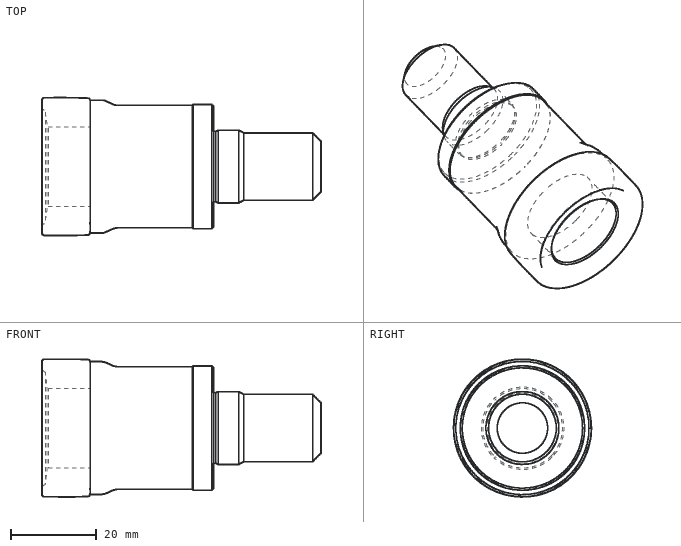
import cadquery as cq
import math

AXIS_START = (0, 0, 0)
AXIS_END = (1, 0, 0)

total_length = 65.0
cap_length = 11.2
flange_end = 40.0
flange_width = 5.0

pad_radius = 9.25
pad_depth = 1.5

cap_radius = 32.2 / 2
cap_peak_x = 4.3
cap_front_radius = 16.04
cap_front_fillet = 0.6
cap_rear_radius = 15.94
cap_rear_fillet = 0.5

rim_radius = 13.4
rim_fillet = 0.5
step_root_radius = 13.15
step_depth = 0.8
step_root_fillet = 0.6
cone_outer_radius = 12.15
cone_inner_radius = 10.0
cone_angle = 8.6
cone_blend = 3.3
bore_mouth_radius = 9.6
cone_bottom_depth = step_depth + (cone_outer_radius - cone_inner_radius) * math.tan(math.radians(cone_angle))

shoulder_radius = 31.0 / 2
barrel_radius = 28.6 / 2
flange_radius = 29.0 / 2
taper_start = 14.4
taper_end = 17.05
taper_blend = 2.0
flange_front_chamfer = flange_radius - barrel_radius
flange_rear_chamfer = 0.5

relief_radius = 8.25
relief_length = 0.5
collar_radius = 17.0 / 2
relief_ramp_length = 0.6
collar_end = 45.8
collar_ramp_end = 47.0
shank_radius = 15.75 / 2
tip_chamfer = 2.0


def revolve_profile(profile):
    return profile.close().revolve(360, AXIS_START, AXIS_END)


def ring_edge(solid, x, radius):
    """Select the circular edge of given radius at position x."""
    tolerance = 0.02
    ring_box = cq.selectors.BoxSelector(
        (x - tolerance, -radius - tolerance, -radius - tolerance),
        (x + tolerance, radius + tolerance, radius + tolerance),
        boundingbox=True,
    )
    return solid.edges(ring_box).edges(cq.selectors.RadiusNthSelector(-1))


def make_cap():
    profile = (
        cq.Workplane("XY")
        .moveTo(pad_depth, pad_radius)
        .lineTo(cone_bottom_depth, bore_mouth_radius)
        .lineTo(cone_bottom_depth, cone_inner_radius)
        .lineTo(step_depth, cone_outer_radius)
        .lineTo(step_depth, step_root_radius)
        .lineTo(0, rim_radius)
        .lineTo(0, cap_front_radius)
        .threePointArc((cap_peak_x, cap_radius), (cap_length, cap_rear_radius))
        .lineTo(cap_length, pad_radius)
    )
    cap = revolve_profile(profile)
    cap = ring_edge(cap, 0, cap_front_radius).fillet(cap_front_fillet)
    cap = ring_edge(cap, cap_length, cap_rear_radius).fillet(cap_rear_fillet)
    cap = ring_edge(cap, 0, rim_radius).fillet(rim_fillet)
    cap = ring_edge(cap, step_depth, step_root_radius).fillet(step_root_fillet)
    cap = ring_edge(cap, step_depth, cone_outer_radius).fillet(cone_blend)
    return ring_edge(cap, cone_bottom_depth, cone_inner_radius).fillet(cone_blend)


def make_body():
    flange_start = flange_end - flange_width
    relief_end = flange_end + relief_length
    profile = (
        cq.Workplane("XY")
        .moveTo(pad_depth, 0)
        .lineTo(pad_depth, pad_radius)
        .lineTo(cap_length, pad_radius)
        .lineTo(cap_length, shoulder_radius)
        .lineTo(taper_start, shoulder_radius)
        .lineTo(taper_end, barrel_radius)
        .lineTo(flange_start, barrel_radius)
        .lineTo(flange_start + flange_front_chamfer, flange_radius)
        .lineTo(flange_end - flange_rear_chamfer, flange_radius)
        .lineTo(flange_end, flange_radius - flange_rear_chamfer)
        .lineTo(flange_end, relief_radius)
        .lineTo(relief_end, relief_radius)
        .lineTo(relief_end + relief_ramp_length, collar_radius)
        .lineTo(collar_end, collar_radius)
        .lineTo(collar_ramp_end, shank_radius)
        .lineTo(total_length - tip_chamfer, shank_radius)
        .lineTo(total_length, shank_radius - tip_chamfer)
        .lineTo(total_length, 0)
    )
    body = revolve_profile(profile)
    body = ring_edge(body, taper_start, shoulder_radius).fillet(taper_blend)
    return ring_edge(body, taper_end, barrel_radius).fillet(taper_blend)


result = cq.Compound.makeCompound([make_cap().val(), make_body().val()])